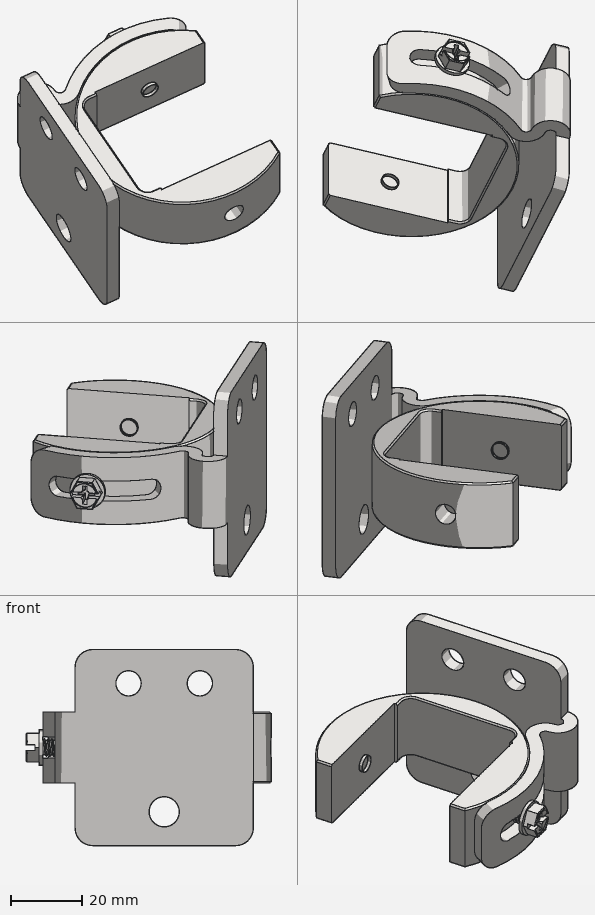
import cadquery as cq
import math

saddle_radius = 30.0
saddle_back = 18.0
band_height = 20.0
edge_chamfer = 0.5
mouth_width = 38.3
mouth_floor = -17.2
seat_width = 36.3
seat_floor = -22.5
seat_corner_radius = 3.0
boss_diameter = 5.0
boss_bore = 4.75
screw_hole_diameter = 4.1
plain_hole_diameter = 6.0
hole_depth = 8.0

sheet = 4.0
plate_width = 50.0
plate_height = 55.0
plate_front = -38.0
plate_corner_radius = 5.0
plate_hole_offset = 18.0
upper_hole_diameter = 7.0
upper_hole_spacing = 20.0
lower_hole_diameter = 8.4
arm_tip_angle = 149.0
arm_root_angle = 225.0
arm_corner_radius = 5.0
slot_width = 6.0
slot_angles = (165.0, 210.0)

washer_diameter = 10.0
washer_thickness = 1.0
head_height = 3.65
head_half_flats = 4.05
head_half_corners = 4.3
head_flat_length = 4.4
head_chamfer = 0.24
dish_radius = 3.5
dish_depth = 0.4
driver_slot_width = 1.6
driver_slot_depth = 2.4
cross_depth = 3.6
cross_top = (5.5, 1.25)
cross_bottom = (4.4, 1.1)
cross_core_top = 1.5
cross_core_bottom = 0.7
thread_diameter = 5.0
thread_pitch = 1.0
thread_half_base = 0.4
thread_sunk = 0.15

arm_radius = saddle_radius + sheet
plate_back = plate_front + sheet
washer_face = arm_radius + washer_thickness
head_end = washer_face + head_height
screw_tip = saddle_radius - hole_depth


def polar(radius, angle, centre=(0, 0)):
    """Point in the XY plane at a radius and an angle in degrees around a centre."""
    turn = math.radians(angle)
    return (centre[0] + radius * math.cos(turn), centre[1] + radius * math.sin(turn))


def equal_bend_radius():
    """Inner radius of the two equal, opposite bends that lead tangentially from the arm to the plate.

    The first bend centre lies (arm_radius + r) out along the arm root, the second lies r behind
    the plate at its left edge, and tangency sets them (sheet + 2 r) apart: a quadratic in r.
    """
    root_x, root_y = polar(1, arm_root_angle)
    gap_x = -plate_width / 2 - arm_radius * root_x
    gap_y = plate_back - arm_radius * root_y
    slope_x = -root_x
    slope_y = 1 - root_y
    a = slope_x**2 + slope_y**2 - 4
    b = 2 * (gap_x * slope_x + gap_y * slope_y) - 4 * sheet
    c = gap_x**2 + gap_y**2 - sheet**2
    return (-b - math.sqrt(b**2 - 4 * a * c)) / (2 * a)


def side_cylinder(side, diameter, start, end):
    """Cylinder along X between two distances from the middle, on the -X (-1) or +X (+1) side."""
    plane = cq.Workplane("YZ", origin=(side * start, 0, 0))
    return plane.circle(diameter / 2).extrude(side * (end - start))


def back_opening(width, floor):
    """Block that opens the saddle from a floor out through its +Y end."""
    depth = 2 * saddle_radius
    return cq.Workplane("XY").box(width, depth, depth).translate((0, floor + depth / 2, 0))


def make_saddle():
    body = cq.Workplane("XY").circle(saddle_radius).extrude(band_height / 2, both=True)
    body = body.cut(back_opening(2 * saddle_radius, saddle_back))
    seat = back_opening(seat_width, seat_floor).edges("|Z and <Y").fillet(seat_corner_radius)
    body = body.cut(seat)
    body = body.faces("<Z or >Z").edges().chamfer(edge_chamfer)
    body = body.cut(back_opening(mouth_width, mouth_floor))
    for side, hole_diameter in ((-1, screw_hole_diameter), (1, plain_hole_diameter)):
        boss = side_cylinder(side, boss_diameter, seat_width / 2, mouth_width / 2)
        bore = side_cylinder(side, boss_bore, seat_width / 2, mouth_width / 2)
        hole = side_cylinder(side, hole_diameter, screw_tip, saddle_radius)
        body = body.union(boss.cut(bore)).cut(hole)
    return body.solids()


def make_plate():
    plate = cq.Workplane("XY").box(plate_width, sheet, plate_height)
    plate = plate.edges("|Y").fillet(plate_corner_radius)
    plate = plate.translate((0, plate_front + sheet / 2, 0))
    holes = [
        (-upper_hole_spacing / 2, plate_hole_offset, upper_hole_diameter),
        (upper_hole_spacing / 2, plate_hole_offset, upper_hole_diameter),
        (0, -plate_hole_offset, lower_hole_diameter),
    ]
    for x, z, diameter in holes:
        drill = cq.Workplane("XZ", origin=(x, plate_back, z)).circle(diameter / 2).extrude(sheet)
        plate = plate.cut(drill)
    return plate


def make_arm():
    inner = equal_bend_radius()
    outer = inner + sheet
    bend_1 = polar(arm_radius + inner, arm_root_angle)
    bend_2 = (-plate_width / 2, plate_back + inner)
    start_1 = arm_root_angle - 180
    end_1 = math.degrees(math.atan2(bend_2[1] - bend_1[1], bend_2[0] - bend_1[0]))
    start_2 = end_1 + 180
    end_2 = 270
    middle_1 = (start_1 + end_1) / 2
    middle_2 = (start_2 + end_2) / 2
    middle_arm = (arm_tip_angle + arm_root_angle) / 2
    arm = (
        cq.Workplane("XY")
        .moveTo(*polar(saddle_radius, arm_tip_angle))
        .threePointArc(polar(saddle_radius, middle_arm), polar(saddle_radius, arm_root_angle))
        .threePointArc(polar(outer, middle_1, bend_1), polar(outer, end_1, bend_1))
        .threePointArc(polar(inner, middle_2, bend_2), polar(inner, end_2, bend_2))
        .lineTo(*polar(outer, end_2, bend_2))
        .threePointArc(polar(outer, middle_2, bend_2), polar(outer, start_2, bend_2))
        .threePointArc(polar(inner, middle_1, bend_1), polar(inner, start_1, bend_1))
        .threePointArc(polar(arm_radius, middle_arm), polar(arm_radius, arm_tip_angle))
        .close()
        .extrude(band_height / 2, both=True)
    )
    tip_direction = cq.Vector(*polar(1, arm_tip_angle))
    tip_edges = arm.edges(cq.selectors.ParallelDirSelector(tip_direction))
    return tip_edges.fillet(arm_corner_radius)


def make_slot():
    """Slot cutter: a sector around the saddle axis with a radial cylinder at each end."""
    reach = 2 * arm_radius
    first, last = slot_angles
    sector = cq.Workplane("XY").polyline([(0, 0), polar(reach, first), polar(reach, last)]).close()
    slot = sector.extrude(slot_width / 2, both=True)
    for angle in slot_angles:
        radial = cq.Plane(origin=(0, 0, 0), xDir=(0, 0, 1), normal=(*polar(1, angle), 0))
        slot = slot.union(cq.Workplane(radial).circle(slot_width / 2).extrude(reach))
    return slot


def make_bracket():
    return make_plate().union(make_arm().cut(make_slot())).solids()


def make_washer():
    disc = side_cylinder(-1, washer_diameter, arm_radius, washer_face)
    return disc.cut(side_cylinder(-1, thread_diameter, arm_radius, washer_face)).solids()


def make_head():
    half_flat = head_flat_length / 2
    outline = [
        (0, head_half_corners),
        (head_half_flats, half_flat),
        (head_half_flats, -half_flat),
        (0, -head_half_corners),
        (-head_half_flats, -half_flat),
        (-head_half_flats, half_flat),
    ]
    base = cq.Workplane("XY").workplane(offset=washer_face)
    head = base.polyline(outline).close().extrude(head_height)
    return head.faces(">Z").chamfer(head_chamfer)


def make_driver_recess():
    """Shallow dish, straight slot along Y and tapered cross, all open at the end of the head."""
    end = cq.Workplane("XY").workplane(offset=head_end)
    recess = end.circle(dish_radius).extrude(-dish_depth)
    recess = recess.union(end.rect(driver_slot_width, washer_diameter).extrude(-driver_slot_depth))
    for turn in (0, 90):
        arm = end.rect(*cross_top).workplane(offset=-cross_depth).rect(*cross_bottom).loft()
        recess = recess.union(arm.rotate((0, 0, 0), (0, 0, 1), turn))
    core = end.circle(cross_core_top).workplane(offset=-cross_depth).circle(cross_core_bottom).loft()
    return recess.union(core)


def make_thread():
    """Helical ridge on the bare stretch of the shank between the saddle and the washer."""
    root = screw_hole_diameter / 2
    length = sheet - 2 * thread_half_base
    start = saddle_radius + thread_half_base
    helix = cq.Wire.makeHelix(thread_pitch, length, root, center=cq.Vector(0, 0, start))
    profile = (
        cq.Workplane("XZ")
        .polyline([
            (root - thread_sunk, start - thread_half_base),
            (thread_diameter / 2, start),
            (root - thread_sunk, start + thread_half_base),
        ])
        .close()
    )
    return profile.sweep(cq.Workplane(helix), isFrenet=True)


def upright_cylinder(diameter, base, length):
    return cq.Workplane("XY").workplane(offset=base).circle(diameter / 2).extrude(length)


def make_screw():
    shank_length = arm_radius - screw_tip
    shank = upright_cylinder(screw_hole_diameter, screw_tip, shank_length)
    neck = upright_cylinder(thread_diameter, arm_radius, washer_thickness)
    screw = shank.union(make_thread()).union(neck).union(make_head()).cut(make_driver_recess())
    return screw.rotate((0, 0, 0), (0, 1, 0), -90).solids()


saddle = make_saddle()
bracket = make_bracket()
washer = make_washer()
screw = make_screw()

result = cq.Compound.makeCompound([saddle.val(), bracket.val(), washer.val(), screw.val()])